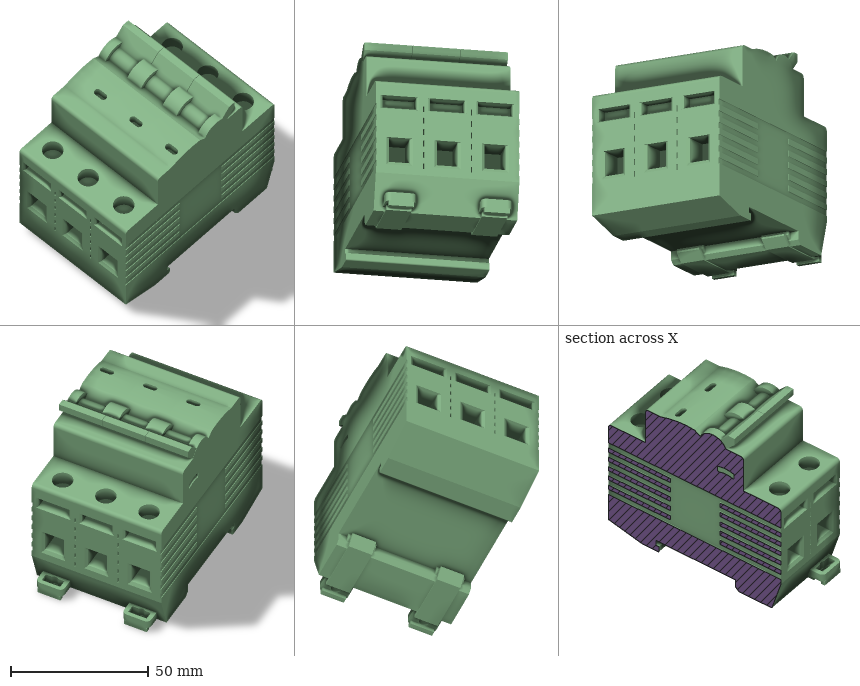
import cadquery as cq
import math


pole_count = 3
breaker_width = 53.4
pole_width = breaker_width / pole_count
half_pole = pole_width / 2
clipped_poles = (0, 2)

body_depth = 79.1
shoulder_height = 49.5
upper_front = 17.0
upper_rear = 62.1
upper_height = 65.4
edge_radius = 1.5
rear_slope_top = 13.45
rear_slope_foot = 75.0
front_slope_top = 3.7
front_slope_foot = 15.7

rail_top = 4.9
rail_front = 21.9
rail_rear = 58.1
rail_rear_chamfer = 1.65
hook_tip = 23.35
hook_top = 2.7
hook_fillet = 0.5

ridge_front = 24.1
ridge_crown = (34.5, 67.3)
ridge_rear = 39.4
ridge_rear_height = 67.1
valley_angle = 31

pivot_y = 48.0
pivot_z = 62.5
hub_radius = 4.4
disc_radius = 6.6
disc_width = 3.5
lever_rear = 57.8
lever_front = 55.0
lever_top = 72.0
lever_rear_height = 69.05
lever_side_inset = 0.1

panel_recess = 0.25
rib_count = 5
rib_height = 2.2
panel_bottom = 15.9
panel_height = (2 * rib_count + 1) * rib_height
front_rib_length = 28.6
rear_rib_length = 28.05

screw_diameter = 7.8
screw_depth = 5.4
front_screw_y = 8.3
rear_screw_y = 71.8

label_width = 14.2
label_bottom = 38.7
label_top = 43.7
label_side_taper = 0.75
label_floor_taper = 0.4
label_taper_depth = 0.6
label_depth = 5.0
terminal_width = 9.9
terminal_bottom = 16.8
terminal_top = 27.5
terminal_side_taper = 1.1
terminal_floor_taper = 1.3
terminal_taper_depth = 0.8
terminal_depth = 10.0

indicator_length = 5.6
indicator_width = 2.55
indicator_x = 4.0
indicator_y = 29.5
indicator_floor = 63.5

side_slot_y = 53.8
side_slot_top = 55.6
side_slot_radius = 11.55
side_slot_height = 2.2
side_slot_length = 7.35
side_slot_corner = 0.4
side_slot_depth = 2.5

clip_width = 11.2
clip_front = 56.6
clip_step = 3.6
clip_end = 82.5
clip_bottom = 1.6
clip_corner = 1.9
base_width = 9.4
base_bottom = -0.3
base_rear = 77.55
tongue_tip = 54.95
tongue_tip_bottom = 3.0
lip_thickness = 1.8
window_width = 7.6
window_rear = 80.9
finger_hole_radius = 1.9
finger_hole_y = 79.0


def extrude_along_x(outline, width):
    """Extrude a closed YZ outline symmetrically about X = 0."""
    return outline.close().extrude(width / 2, both=True)


def box(x_range, y_range, z_range):
    """Box between the given limits."""
    size = [high - low for low, high in (x_range, y_range, z_range)]
    corner = (x_range[0], y_range[0], z_range[0])
    return cq.Workplane(cq.Solid.makeBox(*size, cq.Vector(*corner)))


def make_body():
    """Stepped body with the ridge, the valley for the toggle and the rail channel."""
    valley_floor = ridge_rear_height - (pivot_y - ridge_rear) * math.tan(math.radians(valley_angle))
    outline = (
        cq.Workplane("YZ")
        .moveTo(0, front_slope_top)
        .lineTo(0, shoulder_height)
        .lineTo(upper_front, shoulder_height)
        .lineTo(upper_front, upper_height)
        .lineTo(ridge_front, upper_height)
        .threePointArc(ridge_crown, (ridge_rear, ridge_rear_height))
        .lineTo(pivot_y, valley_floor)
        .lineTo(pivot_y, upper_height)
        .lineTo(upper_rear, upper_height)
        .lineTo(upper_rear, shoulder_height)
        .lineTo(body_depth, shoulder_height)
        .lineTo(body_depth, rear_slope_top)
        .lineTo(rear_slope_foot, 0)
        .lineTo(rail_rear + rail_rear_chamfer, 0)
        .lineTo(rail_rear, rail_rear_chamfer)
        .lineTo(rail_rear, rail_top)
        .lineTo(rail_front, rail_top)
        .lineTo(rail_front, hook_top)
        .lineTo(hook_tip, hook_top)
        .lineTo(hook_tip, 0)
        .lineTo(front_slope_foot, 0)
    )
    body = extrude_along_x(outline, pole_width)
    step_corners = [
        (0, shoulder_height),
        (upper_front, upper_height),
        (upper_rear, upper_height),
        (body_depth, shoulder_height),
    ]
    for y, z in step_corners:
        body = body.edges(cq.selectors.NearestToPointSelector((0, y, z))).fillet(edge_radius)
    for y, z in [(rail_front, hook_top), (hook_tip, 0)]:
        body = body.edges(cq.selectors.NearestToPointSelector((0, y, z))).fillet(hook_fillet)
    return body


def make_panel_recess():
    """Shallow recess of the left side panel, with the ribs left standing in it."""
    x_range = (-half_pole, -half_pole + panel_recess)
    recess = box(x_range, (0, body_depth), (panel_bottom, panel_bottom + panel_height))
    for row in range(rib_count):
        rib_bottom = panel_bottom + (2 * row + 1) * rib_height
        rib_span = (rib_bottom, rib_bottom + rib_height)
        recess = recess.cut(box(x_range, (0, front_rib_length), rib_span))
        recess = recess.cut(box(x_range, (body_depth - rear_rib_length, body_depth), rib_span))
    return recess


def make_pocket(width, bottom, top, side_taper, floor_taper, taper_depth, depth):
    """Front pocket with a level roof and a mouth that narrows at the sides and the floor."""
    outer_height = top - bottom
    inner_height = outer_height - floor_taper
    inner_width = width - 2 * side_taper
    mouth = (
        cq.Workplane("XZ")
        .center(0, bottom + outer_height / 2)
        .rect(width, outer_height)
        .workplane(offset=-taper_depth)
        .center(0, floor_taper / 2)
        .rect(inner_width, inner_height)
        .loft(ruled=True)
    )
    cavity = box((-inner_width / 2, inner_width / 2), (taper_depth, depth), (bottom + floor_taper, top))
    return mouth.union(cavity)


def make_side_slot():
    """Upward-bowed slot in the left side."""
    centre_z = side_slot_top - side_slot_radius
    inner_radius = side_slot_radius - side_slot_height
    ring = (
        cq.Workplane("YZ", origin=(-half_pole, side_slot_y, centre_z))
        .circle(side_slot_radius)
        .circle(inner_radius)
        .extrude(side_slot_depth)
    )
    half_length = side_slot_length / 2
    window = box(
        (-half_pole, -half_pole + side_slot_depth),
        (side_slot_y - half_length, side_slot_y + half_length),
        (centre_z, side_slot_top),
    )
    return ring.intersect(window).edges("|X").fillet(side_slot_corner)


def make_pole_housing():
    """Body with its pockets, holes, slots and ribbed panels."""
    housing = make_body()

    recess = make_panel_recess()
    housing = housing.cut(recess).cut(recess.mirror("YZ"))

    screw_hole = cq.Workplane("XY", origin=(0, 0, shoulder_height)).circle(screw_diameter / 2)
    screw_hole = screw_hole.extrude(-screw_depth)
    for y in (front_screw_y, rear_screw_y):
        housing = housing.cut(screw_hole.translate((0, y, 0)))

    label = make_pocket(
        label_width, label_bottom, label_top,
        label_side_taper, label_floor_taper, label_taper_depth, label_depth,
    )
    terminal = make_pocket(
        terminal_width, terminal_bottom, terminal_top,
        terminal_side_taper, terminal_floor_taper, terminal_taper_depth, terminal_depth,
    )
    for pocket in (label, terminal):
        rear_pocket = pocket.mirror("XZ").translate((0, body_depth, 0))
        housing = housing.cut(pocket).cut(rear_pocket)

    indicator = (
        cq.Workplane("XY", origin=(indicator_x, indicator_y, indicator_floor))
        .slot2D(indicator_length, indicator_width)
        .extrude(ridge_crown[1] - indicator_floor)
    )
    return housing.cut(indicator).cut(make_side_slot())


def make_toggle():
    """Hub across the pole, a disc at each end of it and the slanted lever."""
    pivot_plane = cq.Workplane("YZ", origin=(-half_pole, pivot_y, pivot_z))
    toggle = pivot_plane.circle(hub_radius).extrude(pole_width)
    disc = pivot_plane.circle(disc_radius).extrude(disc_width)
    toggle = toggle.union(disc).union(disc.mirror("YZ"))

    lever_outline = (
        cq.Workplane("YZ")
        .moveTo(lever_rear, lever_rear_height)
        .lineTo(lever_rear, lever_top)
        .lineTo(lever_front, lever_top)
        .lineTo(lever_front - (lever_top - pivot_z), pivot_z)
        .lineTo(lever_rear - (lever_rear_height - pivot_z), pivot_z)
    )
    return toggle.union(extrude_along_x(lever_outline, pole_width - 2 * lever_side_inset))


def make_clip():
    """Sliding rail clip: slider with a finger window, base with a tongue, and a rear lip."""
    slider_outline = (
        cq.Workplane("YZ")
        .moveTo(clip_front, rail_top)
        .lineTo(clip_front, clip_step)
        .lineTo(clip_front + clip_step - clip_bottom, clip_bottom)
        .lineTo(clip_end, clip_bottom)
        .lineTo(clip_end, rail_top)
    )
    slider = extrude_along_x(slider_outline, clip_width)
    slider = slider.edges("|Z and >Y").fillet(clip_corner)

    slider_height = rail_top - clip_bottom
    ramp_outline = (
        cq.Workplane("YZ")
        .moveTo(window_rear, rail_top)
        .lineTo(window_rear - slider_height, clip_bottom)
        .lineTo(window_rear - slider_height, rail_top)
    )
    finger_hole = (
        cq.Workplane("XY", origin=(0, finger_hole_y, clip_bottom))
        .circle(finger_hole_radius)
        .extrude(slider_height)
    )
    slider = slider.cut(extrude_along_x(ramp_outline, window_width)).cut(finger_hole)

    tongue_rise = tongue_tip_bottom - base_bottom
    base_outline = (
        cq.Workplane("YZ")
        .moveTo(base_rear, base_bottom)
        .lineTo(tongue_tip + tongue_rise, base_bottom)
        .lineTo(tongue_tip, tongue_tip_bottom)
        .lineTo(tongue_tip, clip_step)
        .lineTo(clip_front, clip_step)
        .lineTo(clip_front + clip_step - clip_bottom, clip_bottom)
        .lineTo(base_rear, clip_bottom)
    )
    base = extrude_along_x(base_outline, base_width)
    half_base = base_width / 2
    lip = box((-half_base, half_base), (clip_end - lip_thickness, clip_end), (base_bottom, clip_bottom))
    return slider.union(base).union(lip)


def make_pole(with_clip):
    """One complete breaker pole as a single solid, centred on X = 0."""
    pole = make_pole_housing()
    if with_clip:
        pole = pole.union(make_clip())
    return pole.union(make_toggle())


poles = []
for index in range(pole_count):
    pole_x = (index - (pole_count - 1) / 2) * pole_width
    pole = make_pole(index in clipped_poles)
    poles.append(pole.translate((pole_x, 0, 0)).solids().val())

result = cq.Compound.makeCompound(poles)